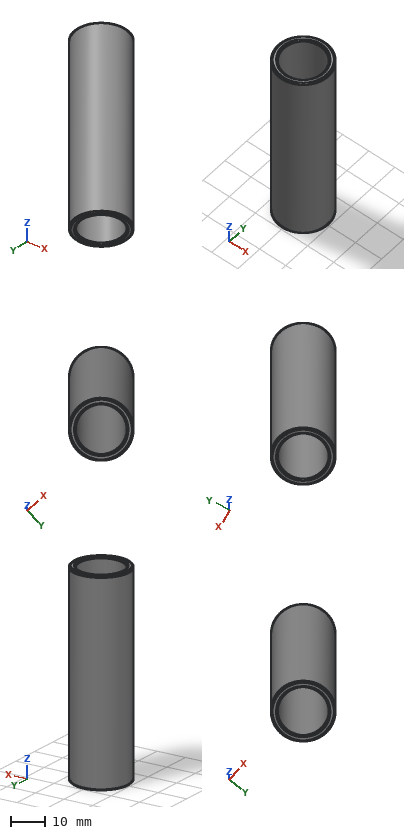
import cadquery as cq

length = 67.0
outer_diameter = 19.0
bore_diameter = 15.0
chamfer = 0.5

tube = (
    cq.Workplane("XY")
    .circle(outer_diameter / 2)
    .circle(bore_diameter / 2)
    .extrude(length)
)

result = tube.faces("<Z or >Z").chamfer(chamfer)